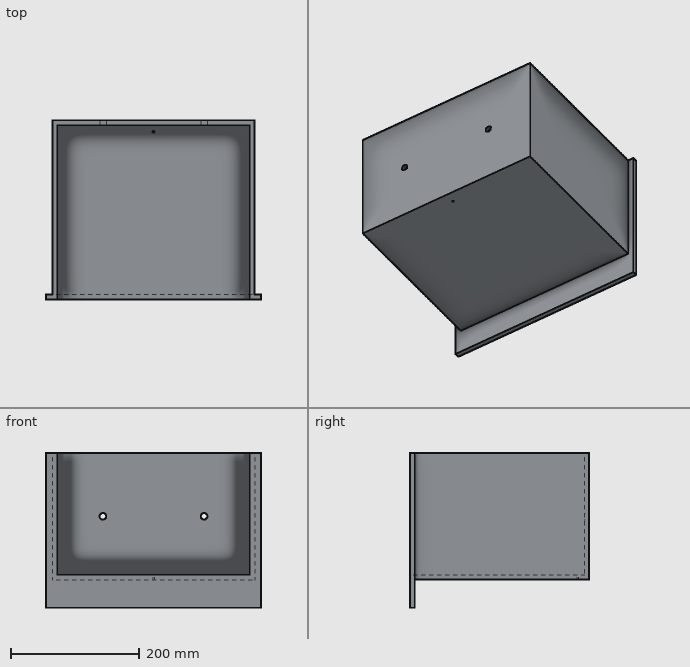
import cadquery as cq

wall = 8.0
box_width = 316.0
depth = 280.0
box_height = 198.0

flange_side = 10.0
flange_drop = 44.0

back_hole_diameter = 10.0
back_hole_spacing = box_width / 2
back_hole_height = box_height / 2
floor_hole_diameter = 2.5
floor_hole_from_back = 18.0

inner_width = box_width - 2 * wall
inner_depth = depth - wall
flange_width = box_width + 2 * flange_side
flange_height = box_height + flange_drop


def block(width, length, height, y_front, z_bottom):
    """Block centred on X, placed by its front face and its underside."""
    return (
        cq.Workplane("XY", origin=(0, y_front + length / 2, z_bottom))
        .box(width, length, height, centered=(True, True, False))
    )


def tray():
    """Box with a floor, two sides and a back; open at the front and the top."""
    shell = block(box_width, depth, box_height, 0, 0)
    flange = block(flange_width, wall, flange_height, 0, -flange_drop)
    cavity = block(inner_width, inner_depth, box_height - wall, 0, wall)
    return shell.union(flange).cut(cavity)


def back_holes():
    """Two round holes through the back wall."""
    return (
        cq.Workplane("XZ", origin=(0, depth, back_hole_height))
        .pushPoints([(-back_hole_spacing / 2, 0), (back_hole_spacing / 2, 0)])
        .circle(back_hole_diameter / 2)
        .extrude(wall)
    )


def floor_hole():
    """Small round hole through the floor, near the back wall."""
    return (
        cq.Workplane("XY", origin=(0, depth - floor_hole_from_back, 0))
        .circle(floor_hole_diameter / 2)
        .extrude(wall)
    )


result = tray().cut(back_holes()).cut(floor_hole())